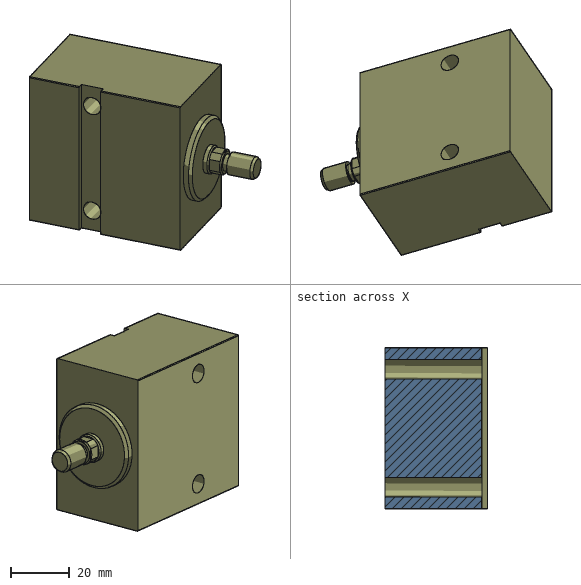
import cadquery as cq


block_length = 56.05
block_width = 35.0
block_height = 55.0
block_chamfer = 0.3

slot_center_x = 22.5
slot_width = 8.0
slot_depth = 2.0
hole_diameter = 6.5
hole_spacing = 40.05

cover_radius = 14.9
cover_thickness = 2.9
cover_chamfer = 1.0

overall_length = 77.0
rod_radius = 5.0
rod_chamfer = 0.5
flats_start_x = 61.0
flats_end_x = 65.0
flat_distance = 8.0
neck_radius = 3.0
neck_end_x = 67.0
undercut_end_radius = 3.15
stud_start_x = 67.4

stud_radius = 4.0
stud_chamfer_length = 1.0
stud_chamfer_depth = 0.6

cover_end_x = block_length + cover_thickness
corner_radius = rod_radius - rod_chamfer
collar_end_x = flats_end_x + rod_chamfer


def revolve_about_x(profile):
    """Revolve a closed list of (x, radius) points about the X axis."""
    return cq.Workplane("XZ").polyline(profile).close().revolve(360, (0, 0, 0), (1, 0, 0))


def make_block():
    """Block with its long edges bevelled, slotted across the -Y face and drilled along Y."""
    body = cq.Workplane("XY").box(block_length, block_width, block_height, centered=(False, True, True))
    body = body.edges("|X").chamfer(block_chamfer)

    slot = cq.Workplane("XY").box(slot_width, 2 * slot_depth, block_height)
    body = body.cut(slot.translate((slot_center_x, -block_width / 2, 0)))

    holes = (
        cq.Workplane("XZ")
        .pushPoints([(slot_center_x, side * hole_spacing / 2) for side in (-1, 1)])
        .circle(hole_diameter / 2)
        .extrude(block_width / 2, both=True)
    )
    return body.cut(holes)


def make_cover():
    """Chamfered disc with a bore for the rod."""
    return revolve_about_x([
        (block_length, rod_radius),
        (block_length, cover_radius),
        (cover_end_x - cover_chamfer, cover_radius),
        (cover_end_x, cover_radius - cover_chamfer),
        (cover_end_x, rod_radius),
    ])


def make_rod():
    """Stepped rod with four wrench flats, and an undercut neck that flares up to the stud."""
    rod = revolve_about_x([
        (block_length, 0),
        (block_length, rod_radius),
        (flats_start_x - rod_chamfer, rod_radius),
        (flats_start_x, corner_radius),
        (flats_end_x, corner_radius),
        (collar_end_x, corner_radius - rod_chamfer),
        (collar_end_x, neck_radius),
        (neck_end_x, neck_radius),
        (stud_start_x, undercut_end_radius),
        (stud_start_x, 0),
    ])
    flats_length = flats_end_x - flats_start_x
    flats_cutter = (
        cq.Workplane("YZ", origin=(flats_start_x, 0, 0))
        .rect(2 * rod_radius, 2 * rod_radius)
        .rect(flat_distance, flat_distance)
        .extrude(flats_length)
    )
    return rod.cut(flats_cutter)


def make_stud():
    """Plain cylinder with a long, shallow chamfer at its free end."""
    return revolve_about_x([
        (stud_start_x, 0),
        (stud_start_x, stud_radius),
        (overall_length - stud_chamfer_length, stud_radius),
        (overall_length, stud_radius - stud_chamfer_depth),
        (overall_length, 0),
    ])


block = make_block()
cover = make_cover()
rod = make_rod()
stud = make_stud()

result = cq.Compound.makeCompound([block.val(), cover.val(), rod.val(), stud.val()])